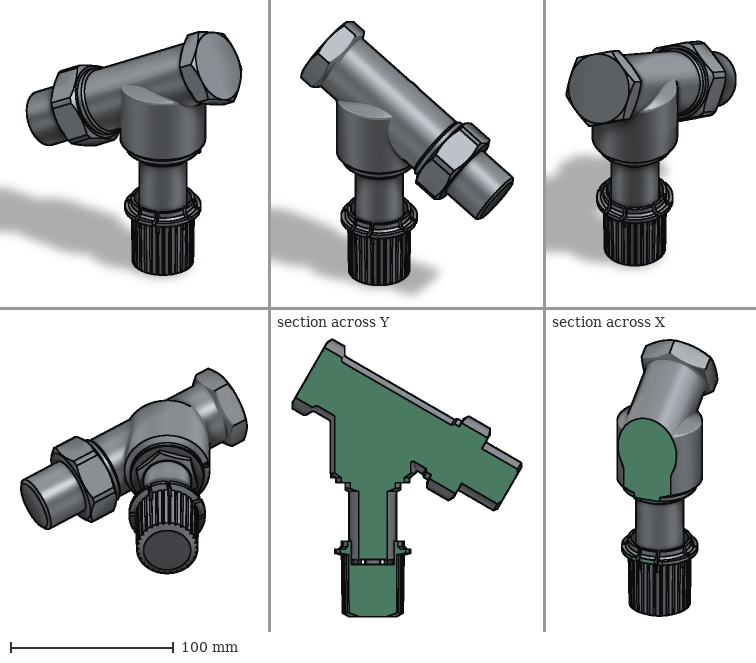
import cadquery as cq
import math

PIPE_RISE = 30.0

PIPE_RADIUS = 19.5
TAIL_RADIUS = 17.0
TAIL_END = -97.2
TAIL_CHAMFER_RADIAL = 2.0
TAIL_CHAMFER_AXIAL = 1.5

UNION_START = -70.4
UNION_END = -51.5
UNION_ACROSS_FLATS = 46.1
UNION_CORNER_RADIUS = 25.6
UNION_FACE_RADIUS = 22.5
UNION_CHAMFER = 1.9

COLLAR_RADIUS = 20.8
COLLAR_END = -48.2
COLLAR_TAPER = 1.4

NECK_START = 29.0
CAP_START = 31.1
CAP_END = 44.8
CAP_ACROSS_FLATS = 42.7
CAP_CORNER_RADIUS = CAP_ACROSS_FLATS / math.sqrt(3)
CAP_FACE_RADIUS = 21.4
CAP_BACK_SLOPE = 30.0
CAP_NECK_FILLET = 1.7
CAP_BACK_ROUND = 1.0
CAP_FRONT_CHAMFER = 1.7

BOSS_DIAMETER = 52.5
BOSS_RADIUS = BOSS_DIAMETER / 2
BOSS_TOP = -0.2
BOSS_TOP_SLOPE = 33.0
BOSS_RIM_FILLET = 2.0
BOSS_EDGE_LEVEL = -39.6
BOSS_BOTTOM = -42.5
SEAM_FILLET = 1.4
FLANGE_RADIUS = 22.7
FLANGE_BOTTOM = -45.6
FLANGE_CHAMFER = 0.5
LUG_WIDTH = 2.0
LUG_REACH = 25.8

GLAND_ACROSS_FLATS = 34.2
GLAND_BOTTOM = -50.7
GLAND_FACE_RADIUS = 15.2
GLAND_CHAMFER = 2.4

STEM_RADIUS = 14.7
STEM_BOTTOM = -92.8

RIM_TOP = -81.3
RIM_RADIUS = 19.5
RIM_BOTTOM = -84.7
GUARD_ROOT_RADIUS = 21.0
GUARD_RADIUS = 23.4
GUARD_TOP = -86.3
GUARD_BOTTOM = -88.8
KNURL_TOP = -89.9
KNURL_TOP_RADIUS = 19.3
KNURL_BOTTOM_RADIUS = 18.8
KNURL_BOTTOM = -125.5
HANDLE_BOTTOM = -128.0
HANDLE_FACE_RADIUS = 14.5
CAVITY_RADIUS = 17.6
CAVITY_FLOOR = -95.7
SPINDLE_RADIUS = 4.3
SLOT_WIDTH = 2.0
SLOT_OFFSET = 6.0
GROOVE_COUNT = 30
GROOVE_WIDTH = 1.5
GROOVE_DEPTH = 1.2


def revolve_about_z(points):
    """Solid of revolution from (radius, height) points."""
    return cq.Workplane("XZ").polyline(points).close().revolve(360, (0, 0), (0, 1))


def cylinder(radius, bottom, top):
    return cq.Workplane("XY").workplane(offset=bottom).circle(radius).extrude(top - bottom)


def hexagon(across_flats, bottom, top, turn):
    corner_diameter = across_flats * 2 / math.sqrt(3)
    prism = cq.Workplane("XY").workplane(offset=bottom).polygon(6, corner_diameter).extrude(top - bottom)
    return prism.rotate((0, 0, 0), (0, 0, 1), turn)


def edge_at_height(height):
    """Selector for edges lying wholly at one height."""
    reach = 2 * BOSS_RADIUS
    margin = 0.02
    low = (-reach, -reach, height - margin)
    high = (reach, reach, height + margin)
    return cq.selectors.BoxSelector(low, high, boundingbox=True)


def along_pipe(solid):
    """Swing a solid built along Z onto the pipe axis."""
    return solid.rotate((0, 0, 0), (0, 1, 0), 90 - PIPE_RISE)


def make_body():
    """Inclined pipe joined to the vertical boss, with the seam rounded."""
    pipe = along_pipe(cylinder(PIPE_RADIUS, UNION_END, CAP_START))
    cone_height = BOSS_RADIUS * math.tan(math.radians(BOSS_TOP_SLOPE))
    boss = revolve_about_z([
        (0, BOSS_BOTTOM),
        (FLANGE_RADIUS, BOSS_BOTTOM),
        (BOSS_RADIUS, BOSS_EDGE_LEVEL),
        (BOSS_RADIUS, BOSS_TOP),
        (0, BOSS_TOP + cone_height),
    ])
    boss = boss.edges(edge_at_height(BOSS_TOP)).fillet(BOSS_RIM_FILLET)
    body = pipe.union(boss)
    seam = [edge for edge in body.edges().vals() if edge.geomType() not in ("CIRCLE", "LINE")]
    return body.newObject(seam).fillet(SEAM_FILLET)


def make_tail():
    shoulder = TAIL_END + TAIL_CHAMFER_AXIAL
    return along_pipe(revolve_about_z([
        (0, TAIL_END),
        (TAIL_RADIUS - TAIL_CHAMFER_RADIAL, TAIL_END),
        (TAIL_RADIUS, shoulder),
        (TAIL_RADIUS, UNION_END),
        (0, UNION_END),
    ]))


def make_union_nut():
    """Hexagon nut with turned corners, chamfered on both faces."""
    turned = revolve_about_z([
        (0, UNION_START),
        (UNION_FACE_RADIUS, UNION_START),
        (UNION_CORNER_RADIUS, UNION_START + UNION_CHAMFER),
        (UNION_CORNER_RADIUS, UNION_END - UNION_CHAMFER),
        (UNION_FACE_RADIUS, UNION_END),
        (0, UNION_END),
    ])
    return along_pipe(turned.intersect(hexagon(UNION_ACROSS_FLATS, UNION_START, UNION_END, 0)))


def make_pipe_collar():
    return along_pipe(revolve_about_z([
        (0, UNION_END),
        (COLLAR_RADIUS, UNION_END),
        (COLLAR_RADIUS, COLLAR_END),
        (PIPE_RADIUS, COLLAR_END + COLLAR_TAPER),
        (0, COLLAR_END + COLLAR_TAPER),
    ]))


def make_end_cap():
    """Hexagon plug whose back flares out of the pipe through a rounded neck."""
    flare_length = (CAP_CORNER_RADIUS - PIPE_RADIUS) * math.tan(math.radians(CAP_BACK_SLOPE))
    flare_end = CAP_START + flare_length
    turned = revolve_about_z([
        (0, NECK_START),
        (PIPE_RADIUS, NECK_START),
        (PIPE_RADIUS, CAP_START),
        (CAP_CORNER_RADIUS, flare_end),
        (CAP_CORNER_RADIUS, CAP_END - CAP_FRONT_CHAMFER),
        (CAP_FACE_RADIUS, CAP_END),
        (0, CAP_END),
    ])
    turned = turned.edges(edge_at_height(CAP_START)).fillet(CAP_NECK_FILLET)
    cap = turned.intersect(hexagon(CAP_ACROSS_FLATS, NECK_START, CAP_END, 0))
    back_edges = [
        edge
        for edge in cap.edges().vals()
        if edge.geomType() not in ("CIRCLE", "LINE") and edge.Center().z < flare_end
    ]
    return along_pipe(cap.newObject(back_edges).fillet(CAP_BACK_ROUND))


def make_flange():
    """Flange under the boss, with a small lug beside the boss chamfer on +X."""
    flange = cylinder(FLANGE_RADIUS, FLANGE_BOTTOM, BOSS_BOTTOM).faces("<Z").chamfer(FLANGE_CHAMFER)
    lug = (
        cq.Workplane("XY")
        .workplane(offset=BOSS_BOTTOM)
        .rect(LUG_REACH, LUG_WIDTH)
        .extrude(BOSS_EDGE_LEVEL - BOSS_BOTTOM)
        .translate((LUG_REACH / 2, 0, 0))
    )
    return flange.union(lug)


def make_gland_nut():
    """Hexagon around the stem, corners toward +Y and -Y, chamfered below."""
    corner_radius = GLAND_ACROSS_FLATS / math.sqrt(3)
    turned = revolve_about_z([
        (0, FLANGE_BOTTOM),
        (corner_radius, FLANGE_BOTTOM),
        (corner_radius, GLAND_BOTTOM + GLAND_CHAMFER),
        (GLAND_FACE_RADIUS, GLAND_BOTTOM),
        (0, GLAND_BOTTOM),
    ])
    return turned.intersect(hexagon(GLAND_ACROSS_FLATS, GLAND_BOTTOM, FLANGE_BOTTOM, 30))


def make_groove_cutter():
    """One V-shaped knurl groove on the +X side, following the handle's draft."""

    def v_points(surface_radius):
        spread = 2
        tip = surface_radius - GROOVE_DEPTH
        mouth = tip + spread * GROOVE_DEPTH
        half_width = spread * GROOVE_WIDTH / 2
        return [(tip, 0), (mouth, half_width), (mouth, -half_width)]

    return (
        cq.Workplane("XY")
        .workplane(offset=KNURL_BOTTOM)
        .polyline(v_points(KNURL_BOTTOM_RADIUS))
        .close()
        .workplane(offset=KNURL_TOP - KNURL_BOTTOM)
        .polyline(v_points(KNURL_TOP_RADIUS))
        .close()
        .loft(ruled=True)
    )


def make_hand_cap():
    """Knurled handle with an open, slotted rim around the stem."""
    cap = revolve_about_z([
        (0, CAVITY_FLOOR),
        (CAVITY_RADIUS, CAVITY_FLOOR),
        (CAVITY_RADIUS, RIM_TOP),
        (RIM_RADIUS, RIM_TOP),
        (RIM_RADIUS, RIM_BOTTOM),
        (GUARD_ROOT_RADIUS, GUARD_TOP),
        (GUARD_RADIUS, GUARD_TOP),
        (GUARD_RADIUS, GUARD_BOTTOM),
        (KNURL_TOP_RADIUS, KNURL_TOP),
        (KNURL_BOTTOM_RADIUS, KNURL_BOTTOM),
        (HANDLE_FACE_RADIUS, HANDLE_BOTTOM),
        (0, HANDLE_BOTTOM),
    ])
    groove = make_groove_cutter()
    for index in range(GROOVE_COUNT):
        angle = index * 360 / GROOVE_COUNT
        cap = cap.cut(groove.rotate((0, 0, 0), (0, 0, 1), angle))

    slot = (
        cq.Workplane("XY")
        .workplane(offset=CAVITY_FLOOR)
        .pushPoints([(-SLOT_OFFSET, 0), (SLOT_OFFSET, 0)])
        .rect(SLOT_WIDTH, 2 * GUARD_RADIUS)
        .extrude(RIM_TOP - CAVITY_FLOOR)
    )
    for angle in (0, 90):
        cap = cap.cut(slot.rotate((0, 0, 0), (0, 0, 1), angle))
    return cap


def make_stem():
    """Stem barrel and the thinner spindle that carries the hand cap."""
    barrel = cylinder(STEM_RADIUS, STEM_BOTTOM, GLAND_BOTTOM)
    return barrel.union(cylinder(SPINDLE_RADIUS, CAVITY_FLOOR, STEM_BOTTOM))


result = make_body()
for piece in (
    make_tail(),
    make_union_nut(),
    make_pipe_collar(),
    make_end_cap(),
    make_flange(),
    make_gland_nut(),
    make_stem(),
    make_hand_cap(),
):
    result = result.union(piece)